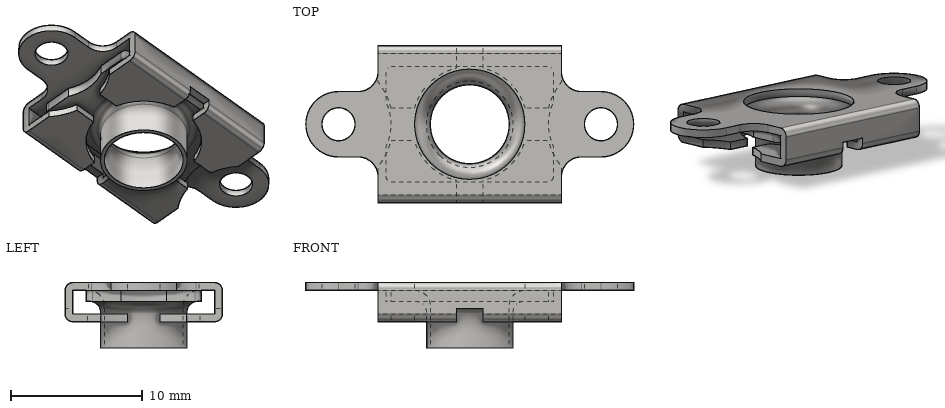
import cadquery as cq
import math

sheet = 0.6
channel_length = 14.0
channel_width = 12.0
channel_height = 3.0
bend_radius = 0.6
ear_spacing = 20.0
ear_radius = 2.5
ear_hole_diameter = 2.5
ear_root_radius = 1.5
access_hole_radius = 4.2

lip_arc_spacing = 22.0
lip_arc_radius = 5.15
collar_clearance_radius = 4.4
lip_gap = 2.45
wall_notch_width = 2.05
wall_notch_top = -2.0

plate_length = 12.8
plate_width = 8.8
plate_thickness = 0.85
plate_corner_radius = 0.5
screw_clearance_radius = 4.0
collar_bottom = -5.0
collar_radius = 3.3
bore_radius = 3.0
mouth_radius = access_hole_radius - bore_radius
collar_root_radius = 0.8

plate_top = -sheet
plate_bottom = plate_top - plate_thickness
lip_top = sheet - channel_height
lip_arc_centers = [(-lip_arc_spacing / 2, 0), (lip_arc_spacing / 2, 0)]
ear_positions = [(-ear_spacing / 2, 0), (ear_spacing / 2, 0)]


def cylinder(radius, bottom, top, centers):
    """Vertical cylinders of one radius, standing at each centre."""
    return cq.Workplane("XY", origin=(0, 0, bottom)).pushPoints(centers).circle(radius).extrude(top - bottom)


def make_channel():
    """Closed box section along X, rounded on its outer long edges."""
    outer = cq.Workplane("XY").box(channel_length, channel_width, channel_height)
    outer = outer.edges("|X").fillet(bend_radius)
    inner = cq.Workplane("XY").box(channel_length, channel_width - 2 * sheet, channel_height - 2 * sheet)
    return outer.cut(inner).translate((0, 0, -channel_height / 2))


def make_ears():
    """Rounded strip along X whose ends are the mounting ears, with concave roots at the channel."""
    strip = (
        cq.Workplane("XY", origin=(0, 0, -sheet))
        .slot2D(ear_spacing + 2 * ear_radius, 2 * ear_radius)
        .extrude(sheet)
    )
    root_length = channel_length + 2 * ear_root_radius
    root_width = 2 * (ear_radius + ear_root_radius)
    roots = cq.Workplane("XY", origin=(0, 0, -sheet)).rect(root_length, root_width).extrude(sheet)
    root_centers = [
        (side_x * root_length / 2, side_y * root_width / 2)
        for side_x in (-1, 1)
        for side_y in (-1, 1)
    ]
    roots = roots.cut(cylinder(ear_root_radius, -sheet, 0, root_centers))
    return strip.union(roots)


def make_lip_opening():
    """Space between the lips: collar clearance, end gap and arcs that trim the lip corners."""
    opening = cylinder(collar_clearance_radius, -channel_height, lip_top, [(0, 0)])
    gap = (
        cq.Workplane("XY", origin=(0, 0, -channel_height))
        .rect(channel_length, lip_gap)
        .extrude(sheet)
    )
    ends = cylinder(lip_arc_radius, -channel_height, lip_top, lip_arc_centers)
    return opening.union(gap).union(ends)


def make_wall_notches():
    """Slot across Y that notches the lower part of both side walls and lips."""
    return (
        cq.Workplane("XY", origin=(0, 0, -channel_height))
        .rect(wall_notch_width, channel_width)
        .extrude(wall_notch_top + channel_height)
    )


def make_bracket():
    bracket = make_channel().cut(make_lip_opening()).cut(make_wall_notches())
    bracket = bracket.union(make_ears())
    bracket = bracket.cut(cylinder(access_hole_radius, -sheet, 0, [(0, 0)]))
    return bracket.cut(cylinder(ear_hole_diameter / 2, -sheet, 0, ear_positions))


def make_plate():
    """Rectangular plate with rounded corners and a concave screw clearance at each end."""
    plate = (
        cq.Workplane("XY", origin=(0, 0, plate_bottom))
        .rect(plate_length, plate_width)
        .extrude(plate_thickness)
        .edges("|Z")
        .fillet(plate_corner_radius)
    )
    plate = plate.cut(cylinder(screw_clearance_radius, plate_bottom, plate_top, ear_positions))
    return plate.cut(cylinder(access_hole_radius, plate_bottom, plate_top, [(0, 0)]))


def make_collar():
    """Revolved tube with a flared mouth and a concave outer root below the plate."""
    diagonal = math.sqrt(0.5)
    mouth_end = plate_top - mouth_radius
    root_end = plate_bottom - collar_root_radius
    root_outer = collar_radius + collar_root_radius
    mouth_middle = (
        access_hole_radius - mouth_radius * diagonal,
        mouth_end + mouth_radius * diagonal,
    )
    root_middle = (
        root_outer - collar_root_radius * diagonal,
        root_end + collar_root_radius * diagonal,
    )
    return (
        cq.Workplane("XZ")
        .moveTo(bore_radius, collar_bottom)
        .lineTo(bore_radius, mouth_end)
        .threePointArc(mouth_middle, (access_hole_radius, plate_top))
        .lineTo(access_hole_radius, plate_bottom)
        .lineTo(root_outer, plate_bottom)
        .threePointArc(root_middle, (collar_radius, root_end))
        .lineTo(collar_radius, collar_bottom)
        .close()
        .revolve(360, (0, 0, 0), (0, 1, 0))
    )


bracket = make_bracket()
floating_nut = make_plate().union(make_collar())

result = cq.Compound.makeCompound([bracket.val(), floating_nut.val()])